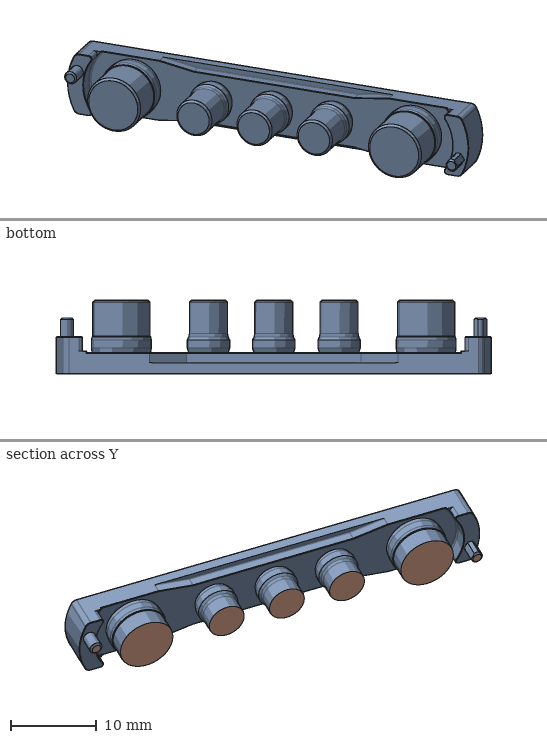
import cadquery as cq
import math

LENGTH = 50.8
DEPTH = 8.65
HEIGHT = 7.6
HALF_HEIGHT = HEIGHT / 2
EDGE_BREAK = 0.075

PLATE_FRONT_Y = 6.15
LUG_FRONT_Y = 4.25
LUG_INNER_RADIUS = 5.6
LUG_TIP_RADIUS = 0.4
LUG_ROOT_FILLET = 0.2
LUG_ROOT_Y = PLATE_FRONT_Y - LUG_ROOT_FILLET
OUTLINE_CORNER_RADIUS = 0.75

LARGE_PLUG_X = 17.8
END_RADIUS = LENGTH / 2 - LARGE_PLUG_X
SMALL_PLUG_PITCH = 7.6
LARGE_BODY_RADIUS = 3.35
LARGE_COLLAR_RADIUS = 3.5
SMALL_BODY_RADIUS = 2.25
SMALL_COLLAR_RADIUS = 2.5
LARGE_TAPER_END_Y = 4.2
SMALL_TAPER_END_Y = 3.9
COLLAR_BACK_Y = 5.6
COLLAR_FRONT_Y = 4.65
COLLAR_STEP_Y = 4.3
COLLAR_STEP_RISE = 0.075
PLUG_TIP_CHAMFER = 0.25

POCKET_BACK_Y = 7.3
POCKET_DEPTH = 0.65
POCKET_HALF_LENGTH = 14.55
POCKET_FLAT_HALF_LENGTH = 10.15
POCKET_FILLET = 0.05

PIN_X = 24.15
PIN_Z = 1.6
PIN_RADIUS = 0.75
PIN_TIP_Y = 2.1
PIN_CHAMFER = 0.2
DIAMOND_LAND_HALF_WIDTH = 0.3


def extrude_along_y(draw_outline, y_front, y_back):
    """Extrude an outline drawn in X and Z so that it fills y_front to y_back."""
    plane = cq.Workplane("XZ", origin=(0, y_back, 0))
    return draw_outline(plane).extrude(y_back - y_front)


def cylinder(x, z, radius, y_front, y_back):
    return extrude_along_y(lambda plane: plane.center(x, z).circle(radius), y_front, y_back)


def base_outline(plane):
    corner_x = LARGE_PLUG_X + math.sqrt(END_RADIUS**2 - HALF_HEIGHT**2)
    return (
        plane.moveTo(-corner_x, -HALF_HEIGHT)
        .lineTo(corner_x, -HALF_HEIGHT)
        .threePointArc((LENGTH / 2, 0), (corner_x, HALF_HEIGHT))
        .lineTo(-corner_x, HALF_HEIGHT)
        .threePointArc((-LENGTH / 2, 0), (-corner_x, -HALF_HEIGHT))
        .close()
    )


def block(y_front, y_back):
    """Solid with the full round-ended outline of the part."""
    body = extrude_along_y(base_outline, y_front, y_back)
    return body.edges("|Y").fillet(OUTLINE_CORNER_RADIUS)


def make_plate():
    pocket = make_pocket()
    plate = block(PLATE_FRONT_Y, DEPTH).cut(pocket).cut(pocket.mirror("XY"))
    return plate.faces("<Y or >Y").edges().chamfer(EDGE_BREAK)


def outside_plug(side, body, opening):
    """Part of a body lying beyond a large plug's axis and outside an opening around it."""
    beyond_axis = cq.Workplane("XY").box(LENGTH, 2 * DEPTH, HEIGHT)
    beyond_axis = beyond_axis.translate((side * (LARGE_PLUG_X + LENGTH / 2), 0, 0))
    return body.intersect(beyond_axis).cut(opening)


def make_lug_root(side):
    """Foot of a lug, curving out of the plate face and filling the plate's edge break."""
    opening = cylinder(side * LARGE_PLUG_X, 0, LUG_INNER_RADIUS, LUG_FRONT_Y, PLATE_FRONT_Y)
    opening = opening.faces(">Y").edges().fillet(LUG_ROOT_FILLET)
    foot = outside_plug(side, block(LUG_ROOT_Y, PLATE_FRONT_Y), opening)
    inset = cylinder(side * LARGE_PLUG_X, 0, LUG_INNER_RADIUS, PLATE_FRONT_Y, DEPTH - EDGE_BREAK)
    filler = outside_plug(side, block(PLATE_FRONT_Y, DEPTH - EDGE_BREAK), inset)
    return foot.union(filler)


def make_lug(side):
    plug_x = side * LARGE_PLUG_X
    opening = cylinder(plug_x, 0, LUG_INNER_RADIUS, LUG_FRONT_Y, LUG_ROOT_Y)
    lug = outside_plug(side, block(LUG_FRONT_Y, LUG_ROOT_Y), opening)
    tip_x = plug_x + side * math.sqrt(LUG_INNER_RADIUS**2 - HALF_HEIGHT**2)
    for z in (-HALF_HEIGHT, HALF_HEIGHT):
        tip = cq.selectors.NearestToPointSelector((tip_x, (LUG_FRONT_Y + LUG_ROOT_Y) / 2, z))
        lug = lug.edges("|Y").edges(tip).fillet(LUG_TIP_RADIUS)
    lug = lug.faces("<Y").edges().chamfer(EDGE_BREAK)
    return lug.union(make_lug_root(side))


def make_pocket():
    floor_z = HALF_HEIGHT - POCKET_DEPTH

    def profile(plane):
        return plane.polyline([
            (-POCKET_HALF_LENGTH, HALF_HEIGHT),
            (-POCKET_FLAT_HALF_LENGTH, floor_z),
            (POCKET_FLAT_HALF_LENGTH, floor_z),
            (POCKET_HALF_LENGTH, HALF_HEIGHT),
        ]).close()

    pocket = extrude_along_y(profile, PLATE_FRONT_Y, POCKET_BACK_Y)
    return pocket.faces(">Y").edges("not >Z").fillet(POCKET_FILLET)


def make_plug(x, body_radius, collar_radius, taper_end_y):
    step_radius = body_radius + COLLAR_STEP_RISE
    profile = [
        (0, PLATE_FRONT_Y),
        (step_radius, PLATE_FRONT_Y),
        (collar_radius, COLLAR_BACK_Y),
        (collar_radius, COLLAR_FRONT_Y),
        (step_radius, COLLAR_STEP_Y),
        (body_radius, taper_end_y),
        (body_radius, PLUG_TIP_CHAMFER),
        (body_radius - PLUG_TIP_CHAMFER, 0),
        (0, 0),
    ]
    plug = cq.Workplane("XY").polyline(profile).close().revolve(360, (0, 0, 0), (0, 1, 0))
    return plug.translate((x, 0, 0))


def make_round_pin(x, z):
    pin = cylinder(x, z, PIN_RADIUS, PIN_TIP_Y, LUG_FRONT_Y)
    return pin.faces("<Y").chamfer(PIN_CHAMFER)


def make_diamond_pin(x, z):
    """Round pin trimmed by a rhombus that leaves narrow lands at its top and bottom."""
    land_z = math.sqrt(PIN_RADIUS**2 - DIAMOND_LAND_HALF_WIDTH**2)
    apex_z = land_z * PIN_RADIUS / (PIN_RADIUS - DIAMOND_LAND_HALF_WIDTH)

    def rhombus(plane):
        corners = [(PIN_RADIUS, 0), (0, apex_z), (-PIN_RADIUS, 0), (0, -apex_z)]
        return plane.center(x, z).polyline(corners).close()

    return make_round_pin(x, z).intersect(extrude_along_y(rhombus, PIN_TIP_Y, LUG_FRONT_Y))


result = make_plate()
for side in (-1, 1):
    result = result.union(make_lug(side))
for x in (-LARGE_PLUG_X, LARGE_PLUG_X):
    result = result.union(make_plug(x, LARGE_BODY_RADIUS, LARGE_COLLAR_RADIUS, LARGE_TAPER_END_Y))
for x in (-SMALL_PLUG_PITCH, 0, SMALL_PLUG_PITCH):
    result = result.union(make_plug(x, SMALL_BODY_RADIUS, SMALL_COLLAR_RADIUS, SMALL_TAPER_END_Y))
result = result.union(make_round_pin(-PIN_X, PIN_Z)).union(make_diamond_pin(PIN_X, -PIN_Z))